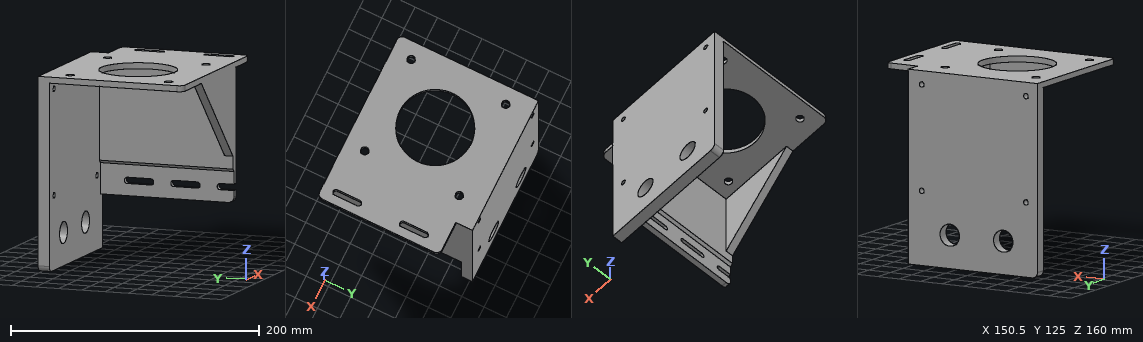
import cadquery as cq

length_x = 150.5
depth_y = 125.0
height_z = 160.0

plate_thickness = 5.0
corner_radius = 5.0
slot_width = 5.0
slot_length = 25.1

wall_width = 120.6
wall_thickness = 10.0
wall_front = depth_y - wall_thickness
screw_hole_diameter = 4.3
screw_hole_columns = (10.7, 108.0)
screw_hole_rows = (61.5, 148.6)
cable_hole_diameter = 18.0
cable_hole_columns = (32.0, 82.0)
cable_hole_height = 27.5

top_underside = height_z - plate_thickness
overhang_back = 110.0
motor_center = (56.8, 60.2)
motor_bore_diameter = 63.4
motor_hole_diameter = 6.5
motor_hole_pitch = 84.8
top_slot_x = 140.6
top_slot_centers_y = (22.4, 82.2)

side_inner = wall_width - plate_thickness
side_bottom = 44.8
side_slot_height = 57.5
side_slot_first_y = 2.0
side_slot_pitch = 40.0
side_slot_count = 3
pad_thickness = 2.4
pad_bottom = 70.5

gusset_thickness = 7.2
gusset_left = 41.8


def box(x_range, y_range, z_range):
    """Box spanning the given (low, high) limits along each axis."""
    sizes = [high - low for low, high in (x_range, y_range, z_range)]
    corner = (x_range[0], y_range[0], z_range[0])
    return cq.Workplane("XY").box(*sizes, centered=False).translate(corner)


def make_wall():
    wall = box((0, wall_width), (wall_front, depth_y), (0, height_z))
    wall = wall.edges("|Y and <X and <Z").fillet(corner_radius)
    screw_points = [(x, z) for x in screw_hole_columns for z in screw_hole_rows]
    cable_points = [(x, cable_hole_height) for x in cable_hole_columns]
    plane = cq.Workplane("XZ", origin=(0, depth_y, 0))
    screws = plane.pushPoints(screw_points).circle(screw_hole_diameter / 2).extrude(wall_thickness)
    cables = plane.pushPoints(cable_points).circle(cable_hole_diameter / 2).extrude(wall_thickness)
    return wall.cut(screws).cut(cables)


def make_top_plate():
    plate = box((0, length_x), (0, overhang_back), (top_underside, height_z))
    plate = plate.edges("|Z and (<Y or >X)").fillet(corner_radius)
    plate = plate.union(box((0, wall_width), (overhang_back, wall_front), (top_underside, height_z)))
    plane = cq.Workplane("XY", origin=(0, 0, top_underside))
    bore = plane.center(*motor_center).circle(motor_bore_diameter / 2).extrude(plate_thickness)
    screws = (
        plane.center(*motor_center)
        .rarray(motor_hole_pitch, motor_hole_pitch, 2, 2)
        .circle(motor_hole_diameter / 2)
        .extrude(plate_thickness)
    )
    slots = (
        plane.pushPoints([(top_slot_x, y) for y in top_slot_centers_y])
        .slot2D(slot_length, slot_width, 90)
        .extrude(plate_thickness)
    )
    return plate.cut(bore).cut(screws).cut(slots)


def make_side_plate():
    plate = box((side_inner, wall_width), (0, wall_front), (side_bottom, top_underside))
    plate = plate.edges("|X and <Y and <Z").fillet(corner_radius)
    slot_points = [
        (side_slot_first_y + index * side_slot_pitch, side_slot_height)
        for index in range(side_slot_count)
    ]
    slots = (
        cq.Workplane("YZ", origin=(side_inner, 0, 0))
        .pushPoints(slot_points)
        .slot2D(slot_length, slot_width)
        .extrude(plate_thickness)
    )
    return plate.cut(slots)


def make_pad():
    """Pad with a 45 degree bevel along its bottom."""
    pad_inner = side_inner - pad_thickness
    outline = [
        (side_inner, pad_bottom),
        (pad_inner, pad_bottom + pad_thickness),
        (pad_inner, top_underside),
        (side_inner, top_underside),
    ]
    return cq.Workplane("XZ").polyline(outline).close().extrude(-wall_front)


def make_gusset():
    leg = side_inner - gusset_left
    outline = [
        (gusset_left, top_underside),
        (side_inner, top_underside),
        (side_inner, top_underside - leg),
    ]
    return cq.Workplane("XZ").polyline(outline).close().extrude(-gusset_thickness)


result = (
    make_wall()
    .union(make_top_plate())
    .union(make_side_plate())
    .union(make_pad())
    .union(make_gusset())
)